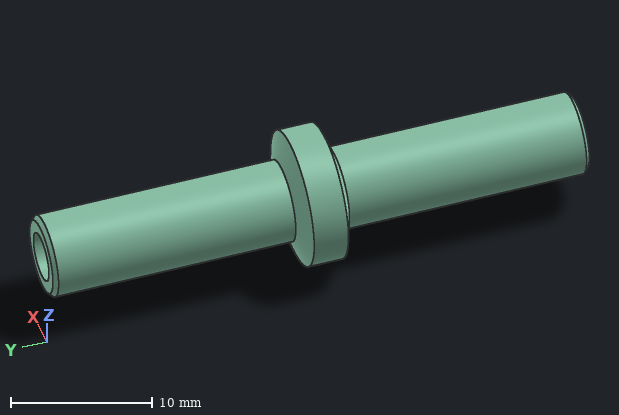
import cadquery as cq

length = 40.0
tube_diameter = 6.0
bore_diameter = 3.5
end_chamfer = 0.3

collar_diameter = 10.0
collar_width = 4.0
collar_slope = 0.7

half_length = length / 2
tube_radius = tube_diameter / 2
bore_radius = bore_diameter / 2
collar_radius = collar_diameter / 2
collar_base = collar_width / 2
collar_rim = collar_base - collar_slope


def revolve_about_y(points):
    """Revolve a closed (radius, y) outline fully around the Y axis."""
    return cq.Workplane("XY").polyline(points).close().revolve(360, (0, 0, 0), (0, 1, 0))


upper_outline = [
    (collar_radius, collar_rim),
    (tube_radius, collar_base),
    (tube_radius, half_length - end_chamfer),
    (tube_radius - end_chamfer, half_length),
    (bore_radius, half_length),
]
lower_outline = [(radius, -y) for radius, y in reversed(upper_outline)]

result = revolve_about_y(upper_outline + lower_outline)